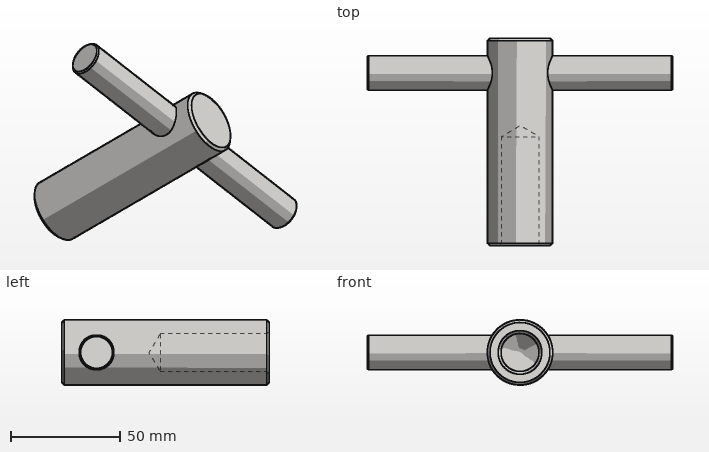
import cadquery as cq
import math

body_diameter = 30.0
body_length = 95.0
body_chamfer = 1.3

bar_diameter = 16.0
bar_length = 140.0
bar_chamfer = 0.7
bar_setback = 16.0

hole_diameter = 17.4
hole_mouth_diameter = 20.0
hole_depth = 50.0
drill_tip_angle = 118.0


def make_body():
    """Round body from the origin to +Y, chamfered at both ends."""
    body = cq.Workplane("XZ").circle(body_diameter / 2).extrude(-body_length)
    return body.edges().chamfer(body_chamfer)


def make_bar():
    """Round cross bar centred on the body axis, chamfered at both ends."""
    bar = cq.Workplane("YZ").circle(bar_diameter / 2).extrude(bar_length / 2, both=True)
    bar = bar.faces("<X or >X").edges().chamfer(bar_chamfer)
    return bar.translate((0, body_length - bar_setback, 0))


def make_hole():
    """Drilled hole with a 45 degree lead-in, revolved about the body axis."""
    hole_radius = hole_diameter / 2
    mouth_radius = hole_mouth_diameter / 2
    lead_in = mouth_radius - hole_radius
    tip_length = hole_radius / math.tan(math.radians(drill_tip_angle / 2))
    profile = (
        cq.Workplane("XY")
        .moveTo(0, 0)
        .lineTo(mouth_radius, 0)
        .lineTo(hole_radius, lead_in)
        .lineTo(hole_radius, hole_depth)
        .lineTo(0, hole_depth + tip_length)
        .close()
    )
    return profile.revolve(360, (0, 0), (0, 1))


result = make_body().union(make_bar()).cut(make_hole())